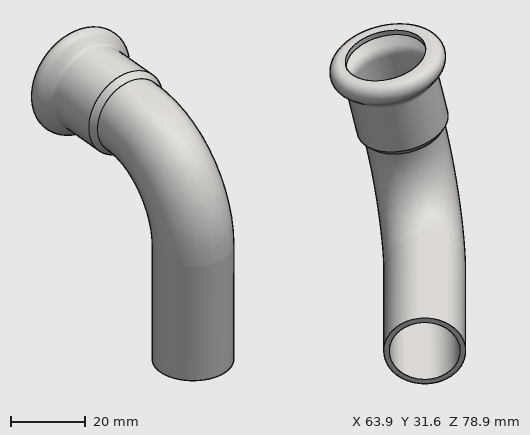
import cadquery as cq
import math


wall = 1.5
pipe_radius = 11.0
pipe_bore_radius = pipe_radius - wall
bend_radius = 27.0
pipe_length = 36.05

socket_radius = 12.5
socket_bore_radius = socket_radius - wall
socket_length = 25.9
neck_start = 23.1
neck_end = 25.0
mouth_x = -(bend_radius + socket_length)

bead_round = 3.0
bead_centre_radius = 12.8
bead_foot_round = 2.0
bead_slope = math.radians(45)

cone_normal = math.pi / 2 - bead_slope
crest_centre = (bead_round, bead_centre_radius)
foot_centre_radius = socket_radius + bead_foot_round
centre_rise = foot_centre_radius - bead_centre_radius
centre_gap = (bead_round + bead_foot_round - centre_rise * math.cos(bead_slope)) / math.sin(bead_slope)
foot_centre = (bead_round + centre_gap, foot_centre_radius)


def on_arc(centre, radius, angle):
    """Point on an arc in the (distance from mouth, radius) plane."""
    return (centre[0] + radius * math.cos(angle), centre[1] + radius * math.sin(angle))


def revolve_socket(profile, inset):
    """Finish a profile that stands at the start of the bead crest and revolve it about X.

    The inset is the distance of the profile inward from the outer skin.
    """
    crest_round = bead_round - inset
    foot_round = bead_foot_round + inset
    crest_middle = (math.pi + cone_normal) / 2
    foot_begin = math.pi + cone_normal
    foot_end = 1.5 * math.pi
    foot_middle = (foot_begin + foot_end) / 2
    return (
        profile.threePointArc(
            on_arc(crest_centre, crest_round, crest_middle),
            on_arc(crest_centre, crest_round, cone_normal),
        )
        .lineTo(*on_arc(foot_centre, foot_round, foot_begin))
        .threePointArc(
            on_arc(foot_centre, foot_round, foot_middle),
            on_arc(foot_centre, foot_round, foot_end),
        )
        .lineTo(neck_start, socket_radius - inset)
        .lineTo(neck_end, pipe_radius - inset)
        .lineTo(socket_length, pipe_radius - inset)
        .lineTo(socket_length, 0)
        .close()
        .revolve(360, (0, 0, 0), (1, 0, 0))
        .translate((mouth_x, 0, 0))
    )


def socket_outside():
    """Solid socket with its bead, starting from a flat mouth face."""
    mouth = cq.Workplane("XY").lineTo(0, bead_centre_radius)
    return revolve_socket(mouth, 0)


def socket_inside():
    """Hollow of the socket: mouth lip, seal groove inside the bead, bore and neck."""
    lip = (
        cq.Workplane("XY")
        .lineTo(0, socket_bore_radius)
        .lineTo(wall, socket_bore_radius)
        .lineTo(wall, bead_centre_radius)
    )
    return revolve_socket(lip, wall)


def bend_and_pipe(radius):
    """Solid quarter bend from the socket followed by the straight pipe."""
    bend = (
        cq.Workplane("YZ", origin=(-bend_radius, 0, 0))
        .circle(radius)
        .revolve(90, (0, -bend_radius, 0), (1, -bend_radius, 0))
    )
    pipe = cq.Workplane("XY", origin=(0, 0, -bend_radius)).circle(radius).extrude(-pipe_length)
    return bend.union(pipe)


outside = socket_outside().union(bend_and_pipe(pipe_radius))
inside = socket_inside().union(bend_and_pipe(pipe_bore_radius))
result = outside.cut(inside)